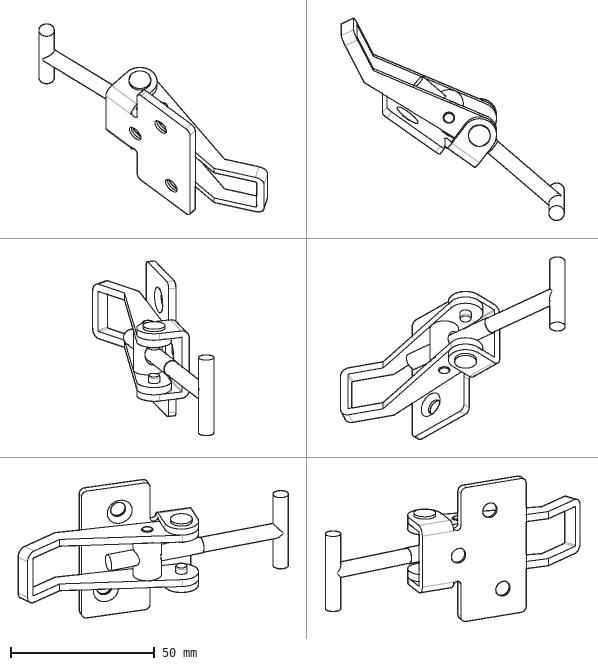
import cadquery as cq
import math


PLATE_THICKNESS = 2.7
PLATE_HEIGHT = 50.0
PLATE_START_X = 8.8
PLATE_WIDTH = 25.0
PLATE_CORNER_RADIUS = 2.0
EAR_RADIUS = 6.0
EAR_OUTER_Z = 12.5
EAR_INNER_Z = 10.1
INNER_BEND_RADIUS = 0.3
BEND_RADIUS = PLATE_THICKNESS + INNER_BEND_RADIUS
PIVOT_Y = 11.0
EAR_TIP_Y = PIVOT_Y + EAR_RADIUS
MOUNT_HOLE_DIAMETER = 5.4
MOUNT_HOLE_LAND = 0.9
MOUNT_HOLES = [(7.9, 0), (19.9, 15.0), (24.9, -15.0)]

OVERALL_LENGTH = 100.1
LEVER_OUTER_Z = EAR_INNER_Z
LEVER_THICKNESS = 2.7
LEVER_INNER_Z = LEVER_OUTER_Z - LEVER_THICKNESS
LEVER_INNER_CORNER_RADIUS = 0.4
LEVER_OUTER_CORNER_RADIUS = LEVER_THICKNESS + LEVER_INNER_CORNER_RADIUS
CRANK_X = 43.3
CRANK_LOWER_Y = 2.1
CRANK_UPPER_Y = 7.5
HANDLE_ANGLE = math.radians(27.3)

RIVET_HEAD_DIAMETER = 7.6
RIVET_HEAD_HEIGHT = 0.9
RIVET_SHANK_DIAMETER = 4.0
RIVET_INNER_Z = 5.0
RIVET_END_TAPER_LENGTH = 0.6
RIVET_END_TAPER_DEPTH = 0.15

TRUNNION_X = 11.9
TRUNNION_Y = 9.3
TRUNNION_DIAMETER = 10.0
JOURNAL_DIAMETER = 4.0
JOURNAL_CHAMFER = 0.3
COUNTERSINK_DIAMETER = 7.8

GRIP_X = -38.1
GRIP_Y = 4.5
ROD_DIAMETER = 5.4
GRIP_LENGTH = 28.0
ROD_LENGTH = 64.9
THICK_END_DIAMETER = 5.7
THICK_END_START = 30.0

ROD_ANGLE = math.atan2(TRUNNION_Y - GRIP_Y, TRUNNION_X - GRIP_X)
TRUNNION_DISTANCE = math.hypot(TRUNNION_Y - GRIP_Y, TRUNNION_X - GRIP_X)
LEVER_TIP_X = GRIP_X - ROD_DIAMETER / 2 + OVERALL_LENGTH


def cylinder_along_z(x, y, diameter, half_length):
    """Cylinder parallel to Z, centred on Z = 0."""
    return cq.Workplane("XY").center(x, y).circle(diameter / 2).extrude(half_length, both=True)


def rod_axis_plane(distance):
    """Plane square to the rod axis, at a distance from the grip centre."""
    along = (math.cos(ROD_ANGLE), math.sin(ROD_ANGLE), 0)
    origin = (GRIP_X + distance * along[0], GRIP_Y + distance * along[1], 0)
    return cq.Plane(origin=origin, xDir=(0, 0, 1), normal=along)


def tangent_point(x, y, side):
    """Where a line from (x, y) touches the lever's round pivot end; side is +1 above, -1 below."""
    distance = math.hypot(x, y - PIVOT_Y)
    direction = math.atan2(y - PIVOT_Y, x)
    angle = direction + side * math.acos(EAR_RADIUS / distance)
    return (EAR_RADIUS * math.cos(angle), PIVOT_Y + EAR_RADIUS * math.sin(angle))


def build_ears():
    """U-shaped channel whose two walls are trimmed to round-ended ears."""
    channel = (
        cq.Workplane("XY")
        .box(2 * EAR_RADIUS, EAR_TIP_Y, 2 * EAR_OUTER_Z, centered=(True, False, True))
        .edges("|X and <Y")
        .fillet(BEND_RADIUS)
    )
    gap = (
        cq.Workplane("XY")
        .box(2 * EAR_RADIUS, EAR_TIP_Y, 2 * EAR_INNER_Z, centered=(True, False, True))
        .edges("|X and <Y")
        .fillet(INNER_BEND_RADIUS)
        .translate((0, PLATE_THICKNESS, 0))
    )
    ear_outline = (
        cq.Workplane("XY")
        .moveTo(-EAR_RADIUS, 0)
        .lineTo(EAR_RADIUS, 0)
        .lineTo(EAR_RADIUS, PIVOT_Y)
        .threePointArc((0, EAR_TIP_Y), (-EAR_RADIUS, PIVOT_Y))
        .close()
        .extrude(EAR_OUTER_Z, both=True)
    )
    return channel.cut(gap).intersect(ear_outline)


def build_neck():
    """Strip between ears and plate, with a round-bottomed bend relief on each side."""
    relief_radius = (PLATE_START_X - EAR_RADIUS) / 2
    relief_x = EAR_RADIUS + relief_radius
    relief_z = EAR_OUTER_Z - BEND_RADIUS + relief_radius
    neck = cq.Workplane("XY").box(
        2 * relief_radius, PLATE_THICKNESS, 2 * relief_z, centered=(True, False, True)
    ).translate((relief_x, 0, 0))
    reliefs = (
        cq.Workplane("XZ")
        .pushPoints([(relief_x, relief_z), (relief_x, -relief_z)])
        .circle(relief_radius)
        .extrude(-PLATE_THICKNESS)
    )
    return neck.cut(reliefs)


def build_mount_hole(x, z):
    """Straight hole at the mounting face, opening into a 45 degree countersink on the inner face."""
    hole_radius = MOUNT_HOLE_DIAMETER / 2
    countersink_radius = hole_radius + PLATE_THICKNESS - MOUNT_HOLE_LAND
    half_section = [
        (0, 0),
        (hole_radius, 0),
        (hole_radius, MOUNT_HOLE_LAND),
        (countersink_radius, PLATE_THICKNESS),
        (0, PLATE_THICKNESS),
    ]
    hole = cq.Workplane("XY").polyline(half_section).close().revolve(360, (0, 0), (0, 1))
    return hole.translate((x, 0, z))


def build_bracket():
    plate = (
        cq.Workplane("XY")
        .box(PLATE_WIDTH, PLATE_THICKNESS, PLATE_HEIGHT, centered=(False, False, True))
        .edges("|Y")
        .fillet(PLATE_CORNER_RADIUS)
        .translate((PLATE_START_X, 0, 0))
    )
    rivet_holes = cylinder_along_z(0, PIVOT_Y, RIVET_SHANK_DIAMETER, EAR_OUTER_Z)
    bracket = build_ears().union(build_neck()).union(plate).cut(rivet_holes)
    for x, z in MOUNT_HOLES:
        bracket = bracket.cut(build_mount_hole(x, z))
    return bracket


def build_lever():
    along = (math.cos(HANDLE_ANGLE), math.sin(HANDLE_ANGLE))
    arm_width = (CRANK_UPPER_Y - CRANK_LOWER_Y) * along[0]
    lower_tip = (LEVER_TIP_X, CRANK_LOWER_Y + (LEVER_TIP_X - CRANK_X) * math.tan(HANDLE_ANGLE))
    upper_tip = (lower_tip[0] - arm_width * along[1], lower_tip[1] + arm_width * along[0])

    blank = (
        cq.Workplane("XY")
        .moveTo(*tangent_point(CRANK_X, CRANK_LOWER_Y, -1))
        .lineTo(CRANK_X, CRANK_LOWER_Y)
        .lineTo(*lower_tip)
        .lineTo(*upper_tip)
        .lineTo(CRANK_X, CRANK_UPPER_Y)
        .lineTo(*tangent_point(CRANK_X, CRANK_UPPER_Y, 1))
        .threePointArc((-EAR_RADIUS, PIVOT_Y), tangent_point(CRANK_X, CRANK_LOWER_Y, -1))
        .close()
        .extrude(LEVER_OUTER_Z, both=True)
    )
    end_face = cq.selectors.DirectionMinMaxSelector(cq.Vector(*along, 0))
    blank = blank.faces(end_face).edges("not |Z").fillet(LEVER_OUTER_CORNER_RADIUS)

    tip_plane = cq.Plane(origin=(*lower_tip, 0), xDir=(*along, 0), normal=(0, 0, 1))
    opening = (
        cq.Workplane(tip_plane)
        .center(-LEVER_THICKNESS - OVERALL_LENGTH / 2, 0)
        .rect(OVERALL_LENGTH, OVERALL_LENGTH)
        .extrude(LEVER_INNER_Z, both=True)
        .faces(end_face)
        .edges("not |Z")
        .fillet(LEVER_INNER_CORNER_RADIUS)
    )
    rivet_holes = cylinder_along_z(0, PIVOT_Y, RIVET_SHANK_DIAMETER, LEVER_OUTER_Z)
    journal_holes = cylinder_along_z(TRUNNION_X, TRUNNION_Y, JOURNAL_DIAMETER, LEVER_OUTER_Z)
    return blank.cut(opening).cut(rivet_holes).cut(journal_holes)


def build_rivet(side):
    """Headed rivet through one ear and one lever arm; side is +1 or -1 along Z."""
    shank_radius = RIVET_SHANK_DIAMETER / 2
    head_radius = RIVET_HEAD_DIAMETER / 2
    half_section = [
        (0, RIVET_INNER_Z),
        (shank_radius - RIVET_END_TAPER_DEPTH, RIVET_INNER_Z),
        (shank_radius, RIVET_INNER_Z + RIVET_END_TAPER_LENGTH),
        (shank_radius, EAR_OUTER_Z),
        (head_radius, EAR_OUTER_Z),
        (head_radius, EAR_OUTER_Z + RIVET_HEAD_HEIGHT),
        (0, EAR_OUTER_Z + RIVET_HEAD_HEIGHT),
    ]
    rivet = (
        cq.Workplane("XZ")
        .polyline([(radius, side * z) for radius, z in half_section])
        .close()
        .revolve(360, (0, 0), (0, 1))
    )
    return rivet.translate((0, PIVOT_Y, 0))


def build_trunnion():
    barrel = cylinder_along_z(TRUNNION_X, TRUNNION_Y, TRUNNION_DIAMETER, LEVER_INNER_Z)
    journals = (
        cylinder_along_z(TRUNNION_X, TRUNNION_Y, JOURNAL_DIAMETER, LEVER_OUTER_Z + JOURNAL_CHAMFER)
        .faces("<Z or >Z")
        .chamfer(JOURNAL_CHAMFER)
    )
    rod_hole = (
        cq.Workplane(rod_axis_plane(TRUNNION_DISTANCE))
        .circle(THICK_END_DIAMETER / 2)
        .extrude(TRUNNION_DIAMETER, both=True)
    )
    countersink_radius = COUNTERSINK_DIAMETER / 2
    countersink = cq.Workplane(
        cq.Solid.makeCone(
            countersink_radius,
            0,
            countersink_radius,
            pnt=rod_axis_plane(TRUNNION_DISTANCE - TRUNNION_DIAMETER / 2).origin,
            dir=rod_axis_plane(0).zDir,
        )
    )
    return barrel.union(journals).cut(rod_hole).cut(countersink)


def build_rod():
    grip = cylinder_along_z(GRIP_X, GRIP_Y, ROD_DIAMETER, GRIP_LENGTH / 2)
    stem = (
        cq.Workplane(rod_axis_plane(0))
        .circle(ROD_DIAMETER / 2)
        .extrude(THICK_END_START)
    )
    thick_end = (
        cq.Workplane(rod_axis_plane(THICK_END_START))
        .circle(THICK_END_DIAMETER / 2)
        .extrude(ROD_LENGTH - THICK_END_START)
    )
    return grip.union(stem).union(thick_end)


bracket = build_bracket()
lever = build_lever()
rivets = [build_rivet(side) for side in (1, -1)]
trunnion = build_trunnion()
rod = build_rod()

result = cq.Compound.makeCompound(
    [bracket.val(), lever.val(), *[rivet.val() for rivet in rivets], trunnion.val(), rod.val()]
)